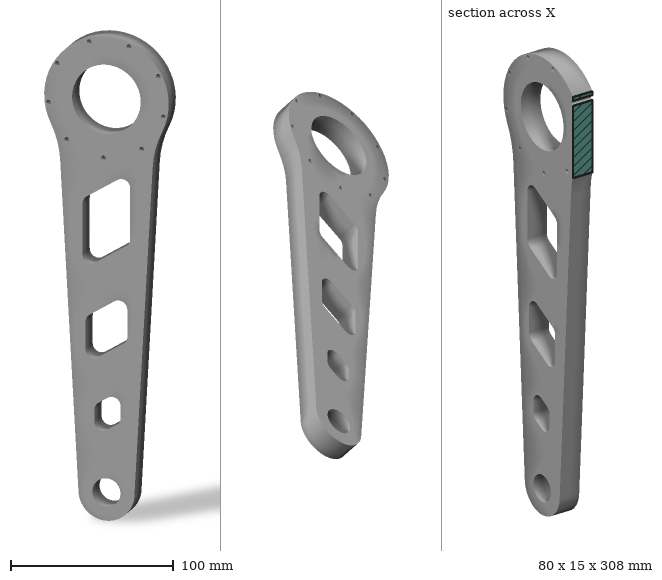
import cadquery as cq
import math

thickness = 15.0
hub_radius = 40.0
hub_bore_diameter = 44.0
tip_distance = 250.0
tip_radius = 18.0
tip_bore_diameter = 18.0

arm_half_width_at_hub = 32.0
arm_half_width_at_tip = tip_radius
neck_fillet_radius = 60.0

ring_hole_count = 9
ring_hole_diameter = 3.0
ring_radius = 37.5
ring_start_angle = -92.8

window_slope_angle = 31.5
window_corner_radius = 5.5
windows = [
    (0.0, -77.6, 15.3, 22.6),
    (0.0, -146.3, 13.4, 15.1),
    (0.7, -200.0, 8.4, 10.2),
]


def back_face():
    """Workplane on the back of the plate (+Y side); it extrudes toward -Y."""
    return cq.Workplane("XZ", origin=(0, thickness / 2, 0))


def make_disc(radius, z):
    return back_face().center(0, z).circle(radius).extrude(thickness)


def make_arm():
    """Tapered arm from hub to tip, with a concave arc on each side at the hub."""
    taper = math.atan((arm_half_width_at_hub - arm_half_width_at_tip) / tip_distance)

    foot_distance = arm_half_width_at_hub * math.cos(taper) + neck_fillet_radius
    center_distance = hub_radius + neck_fillet_radius
    along_edge = math.sqrt(center_distance**2 - foot_distance**2)
    center_x = foot_distance * math.cos(taper) - along_edge * math.sin(taper)
    center_z = -foot_distance * math.sin(taper) - along_edge * math.cos(taper)

    hub_tangent_x = center_x * hub_radius / center_distance
    hub_tangent_z = center_z * hub_radius / center_distance
    arm_tangent_x = center_x - neck_fillet_radius * math.cos(taper)
    arm_tangent_z = center_z + neck_fillet_radius * math.sin(taper)

    middle_x = (hub_tangent_x + arm_tangent_x) / 2 - center_x
    middle_z = (hub_tangent_z + arm_tangent_z) / 2 - center_z
    middle_scale = neck_fillet_radius / math.hypot(middle_x, middle_z)
    arc_x = center_x + middle_x * middle_scale
    arc_z = center_z + middle_z * middle_scale

    outline = (
        back_face()
        .moveTo(-hub_tangent_x, hub_tangent_z)
        .lineTo(hub_tangent_x, hub_tangent_z)
        .threePointArc((arc_x, arc_z), (arm_tangent_x, arm_tangent_z))
        .lineTo(arm_half_width_at_tip, -tip_distance)
        .lineTo(-arm_half_width_at_tip, -tip_distance)
        .lineTo(-arm_tangent_x, arm_tangent_z)
        .threePointArc((-arc_x, arc_z), (-hub_tangent_x, hub_tangent_z))
        .close()
    )
    return outline.extrude(thickness)


def make_ring_holes():
    centers = back_face().polarArray(ring_radius, ring_start_angle, 360, ring_hole_count)
    return centers.circle(ring_hole_diameter / 2).extrude(thickness)


def make_window(center_x, center_z, half_width, half_height):
    """Parallelogram with upright sides, rising toward +X, with rounded corners."""
    rise = half_width * math.tan(math.radians(window_slope_angle))
    corners = [
        (center_x - half_width, center_z - half_height - rise),
        (center_x + half_width, center_z - half_height + rise),
        (center_x + half_width, center_z + half_height + rise),
        (center_x - half_width, center_z + half_height - rise),
    ]
    window = back_face().polyline(corners).close().extrude(thickness)
    return window.edges("|Y").fillet(window_corner_radius)


result = make_disc(hub_radius, 0).union(make_arm()).union(make_disc(tip_radius, -tip_distance))
result = result.cut(make_disc(hub_bore_diameter / 2, 0))
result = result.cut(make_disc(tip_bore_diameter / 2, -tip_distance))
result = result.cut(make_ring_holes())
for center_x, center_z, half_width, half_height in windows:
    result = result.cut(make_window(center_x, center_z, half_width, half_height))